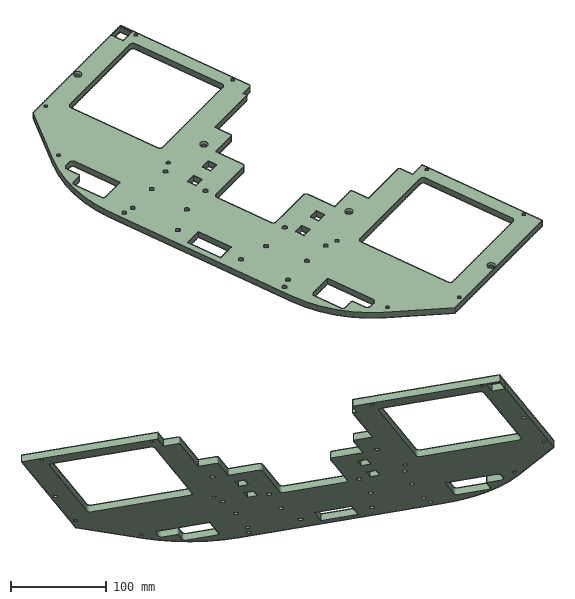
import cadquery as cq
import math

LENGTH = 536.0
WIDTH = 245.0
THICKNESS = 8.0
HALF_LENGTH = LENGTH / 2
BACK = WIDTH / 2
FRONT = -WIDTH / 2

SIDE_EDGE_LENGTH = 163.5
BEVEL_ANGLE = math.radians(39.6)
FRONT_ARC_RADIUS = 150.0

BAY_HALF_WIDTH = 38.0
BAY_DEPTH = 163.0
MIDDLE_STEP_HALF_WIDTH = 75.5
MIDDLE_STEP_DEPTH = 105.0
OUTER_STEP_HALF_WIDTH = 97.5
OUTER_STEP_DEPTH = 74.5
LEFT_MOUTH_HALF_WIDTH = 102.5
LEFT_MOUTH_DEPTH = 14.5
RIGHT_MOUTH_HALF_WIDTH = 115.0
RIGHT_MOUTH_DEPTH = 17.5
BAY_CORNER_RADIUS = 4.0
STEP_CORNER_RADIUS = 2.0

WINDOW_CENTER_X = 184.5
WINDOW_LENGTH = 118.0
WINDOW_WIDTH = 119.5
WINDOW_DEPTH = 15.0
WINDOW_CORNER_RADIUS = 4.0

CORNER_CUTOUT_LENGTH = 15.0
CORNER_CUTOUT_WIDTH = 16.0
CORNER_SIDE_WEB = 0.5
CORNER_BACK_WEB = 1.9
CORNER_CUTOUT_RADIUS = 1.5

SMALL_OPENING_X = 68.5
SMALL_OPENING_LENGTH = 10.5
SMALL_OPENING_WIDTH = 11.0
SMALL_OPENING_DEPTHS = (127.0, 154.5)

FRONT_SLOT_LENGTH = 42.0
FRONT_SLOT_WIDTH = 20.0
FRONT_SLOT_DEPTH = 228.0

L_INNER_X = 132.0
L_STEP_X = 172.5
L_OUTER_X = 193.5
L_BACK_DEPTH = 201.0
L_STEP_DEPTH = 215.5
L_FRONT_DEPTH = 231.0
L_END_RADIUS = 4.5
L_STEP_RADIUS = 1.5
L_FRONT_RADIUS = 3.0

SMALL_HOLE_DIAMETER = 3.8
SMALL_HOLES = ((246.5, 3.0), (123.0, 3.0), (262.5, 147.5), (209.0, 202.5))
MEDIUM_HOLE_DIAMETER = 4.5
MEDIUM_HOLES = ((107.0, 147.5),)
LARGE_HOLE_DIAMETER = 5.05
LARGE_HOLES = ((102.0, 160.0), (98.5, 191.0), (98.5, 226.0), (102.0, 237.5))
SPACER_HOLE_DIAMETER = 5.3
SPACER_HOLES = ((50.5, 161.5), (50.5, 196.0), (40.0, 228.0))

SCREW_HOLE_DIAMETER = 5.05
COUNTERSINK_DIAMETER = 8.5
COUNTERSINK_ANGLE = 90
SCREW_HOLES = ((262.5, 88.0), (92.0, 103.0))

PICK_MARGIN = 0.25


def from_back(depth):
    """Y position at the given depth from the back edge."""
    return BACK - depth


def mirrored(places):
    """Points on both sides of the centre line."""
    return [(side * x, from_back(depth)) for x, depth in places for side in (-1, 1)]


def round_corners(body, points, radius):
    """Fillet the vertical edges standing at the given points."""
    for x, y in points:
        low_corner = (x - PICK_MARGIN, y - PICK_MARGIN, 0)
        high_corner = (x + PICK_MARGIN, y + PICK_MARGIN, THICKNESS)
        corner_box = cq.selectors.BoxSelector(low_corner, high_corner)
        body = body.edges("|Z").edges(corner_box).fillet(radius)
    return body


def outline_plate():
    side_end = from_back(SIDE_EDGE_LENGTH)
    bevel_drop = side_end - FRONT - FRONT_ARC_RADIUS * (1 - math.cos(BEVEL_ANGLE))
    bevel_end_x = HALF_LENGTH - bevel_drop / math.tan(BEVEL_ANGLE)
    bevel_end_y = side_end - bevel_drop
    arc_end_x = bevel_end_x - FRONT_ARC_RADIUS * math.sin(BEVEL_ANGLE)
    arc_mid_x = arc_end_x + FRONT_ARC_RADIUS * math.sin(BEVEL_ANGLE / 2)
    arc_mid_y = FRONT + FRONT_ARC_RADIUS * (1 - math.cos(BEVEL_ANGLE / 2))
    return (
        cq.Workplane("XY")
        .moveTo(-HALF_LENGTH, BACK)
        .lineTo(-HALF_LENGTH, side_end)
        .lineTo(-bevel_end_x, bevel_end_y)
        .threePointArc((-arc_mid_x, arc_mid_y), (-arc_end_x, FRONT))
        .lineTo(arc_end_x, FRONT)
        .threePointArc((arc_mid_x, arc_mid_y), (bevel_end_x, bevel_end_y))
        .lineTo(HALF_LENGTH, side_end)
        .lineTo(HALF_LENGTH, BACK)
        .close()
        .extrude(THICKNESS)
    )


def cut_rectangle(body, left, right, back_depth, front_depth):
    """Cut a rectangle through the plate between two X positions and two depths."""
    cutter = (
        cq.Workplane("XY")
        .center((left + right) / 2, from_back((back_depth + front_depth) / 2))
        .rect(right - left, front_depth - back_depth)
        .extrude(THICKNESS)
    )
    return body.cut(cutter)


def cut_bay(body):
    body = cut_rectangle(body, -BAY_HALF_WIDTH, BAY_HALF_WIDTH, 0, BAY_DEPTH)
    body = cut_rectangle(body, -MIDDLE_STEP_HALF_WIDTH, MIDDLE_STEP_HALF_WIDTH, 0, MIDDLE_STEP_DEPTH)
    body = cut_rectangle(body, -OUTER_STEP_HALF_WIDTH, OUTER_STEP_HALF_WIDTH, 0, OUTER_STEP_DEPTH)
    body = cut_rectangle(body, -LEFT_MOUTH_HALF_WIDTH, 0, 0, LEFT_MOUTH_DEPTH)
    body = cut_rectangle(body, 0, RIGHT_MOUTH_HALF_WIDTH, 0, RIGHT_MOUTH_DEPTH)
    bay_corners = mirrored([(BAY_HALF_WIDTH, BAY_DEPTH), (BAY_HALF_WIDTH, MIDDLE_STEP_DEPTH)])
    step_corners = mirrored([(MIDDLE_STEP_HALF_WIDTH, OUTER_STEP_DEPTH)])
    step_corners.append((-LEFT_MOUTH_HALF_WIDTH, BACK))
    step_corners.append((OUTER_STEP_HALF_WIDTH, from_back(RIGHT_MOUTH_DEPTH)))
    body = round_corners(body, bay_corners, BAY_CORNER_RADIUS)
    return round_corners(body, step_corners, STEP_CORNER_RADIUS)


def cut_windows(body):
    window = (
        cq.Workplane("XY")
        .pushPoints(mirrored([(WINDOW_CENTER_X, WINDOW_DEPTH + WINDOW_WIDTH / 2)]))
        .rect(WINDOW_LENGTH, WINDOW_WIDTH)
        .extrude(THICKNESS)
        .edges("|Z")
        .fillet(WINDOW_CORNER_RADIUS)
    )
    return body.cut(window)


def cut_corner(body):
    left = -HALF_LENGTH + CORNER_SIDE_WEB
    front_depth = CORNER_BACK_WEB + CORNER_CUTOUT_WIDTH
    body = cut_rectangle(body, left, left + CORNER_CUTOUT_LENGTH, CORNER_BACK_WEB, front_depth)
    return round_corners(body, [(left, from_back(CORNER_BACK_WEB))], CORNER_CUTOUT_RADIUS)


def cut_small_openings(body):
    places = [(SMALL_OPENING_X, depth) for depth in SMALL_OPENING_DEPTHS]
    openings = (
        cq.Workplane("XY")
        .pushPoints(mirrored(places))
        .rect(SMALL_OPENING_LENGTH, SMALL_OPENING_WIDTH)
        .extrude(THICKNESS)
    )
    return body.cut(openings)


def cut_front_slot(body):
    half_length = FRONT_SLOT_LENGTH / 2
    half_width = FRONT_SLOT_WIDTH / 2
    return cut_rectangle(
        body, -half_length, half_length, FRONT_SLOT_DEPTH - half_width, FRONT_SLOT_DEPTH + half_width
    )


def cut_l_openings(body):
    corners = (
        (L_INNER_X, L_BACK_DEPTH),
        (L_OUTER_X, L_BACK_DEPTH),
        (L_OUTER_X, L_STEP_DEPTH),
        (L_STEP_X, L_STEP_DEPTH),
        (L_STEP_X, L_FRONT_DEPTH),
        (L_INNER_X, L_FRONT_DEPTH),
    )
    points = [(x, from_back(depth)) for x, depth in corners]
    opening = cq.Workplane("XY").polyline(points).close().extrude(THICKNESS)
    opening = round_corners(opening, points[1:3], L_END_RADIUS)
    opening = round_corners(opening, points[3:4], L_STEP_RADIUS)
    opening = round_corners(opening, points[4:6], L_FRONT_RADIUS)
    return body.cut(opening).cut(opening.mirror("YZ"))


def drill_holes(body):
    patterns = (
        (SMALL_HOLE_DIAMETER, SMALL_HOLES),
        (MEDIUM_HOLE_DIAMETER, MEDIUM_HOLES),
        (LARGE_HOLE_DIAMETER, LARGE_HOLES),
        (SPACER_HOLE_DIAMETER, SPACER_HOLES),
    )
    for diameter, places in patterns:
        drills = cq.Workplane("XY").pushPoints(mirrored(places)).circle(diameter / 2).extrude(THICKNESS)
        body = body.cut(drills)
    return body


def drill_screw_holes(body):
    top = cq.Workplane("XY").workplane(offset=THICKNESS)
    screws = body.copyWorkplane(top).pushPoints(mirrored(SCREW_HOLES))
    return screws.cskHole(SCREW_HOLE_DIAMETER, COUNTERSINK_DIAMETER, COUNTERSINK_ANGLE)


plate = outline_plate()
plate = cut_bay(plate)
plate = cut_windows(plate)
plate = cut_corner(plate)
plate = cut_small_openings(plate)
plate = cut_front_slot(plate)
plate = cut_l_openings(plate)
plate = drill_holes(plate)
result = drill_screw_holes(plate)